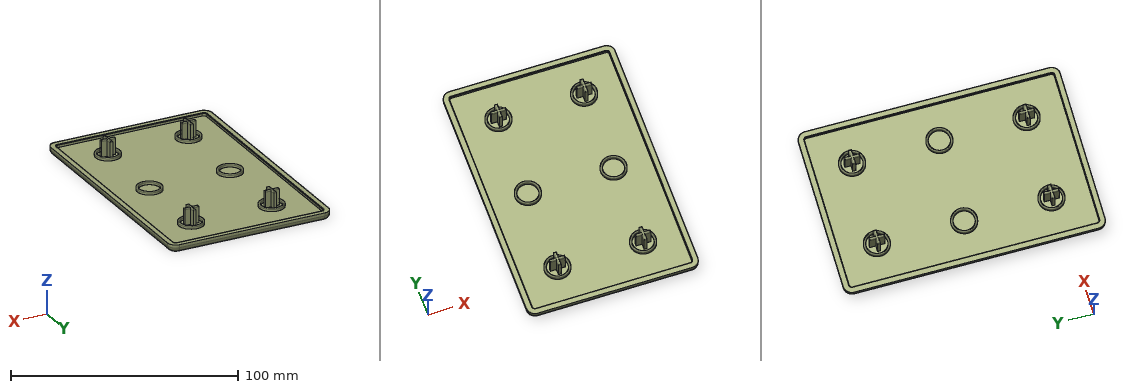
import cadquery as cq

plate_width = 79.9
plate_length = 119.9
plate_thickness = 4.0
corner_radius = 4.0
bottom_fillet = 2.5

rim_width = 2.8
recess_depth = 1.4
recess_corner_radius = corner_radius - rim_width
rim_chamfer = 0.3

column_spacing = plate_width / 2
row_spacing = plate_length / 3
ring_outer_diameter = 12.0
ring_inner_diameter = 9.8
ring_height = recess_depth
total_height = 10.5
post_span = 7.0
post_rib_thickness = 1.4
top_edge_fillet = 0.4

floor_z = plate_thickness - recess_depth
ring_positions = [
    (column * column_spacing / 2, row * row_spacing)
    for column in (-1, 1)
    for row in (-1, 0, 1)
]
post_positions = [(x, y) for x, y in ring_positions if y != 0]


def make_plate():
    """Rounded plate with a soft bottom edge and a shallow recess whose mouth is chamfered."""
    body = (
        cq.Workplane("XY")
        .rect(plate_width, plate_length)
        .extrude(plate_thickness)
        .edges("|Z")
        .fillet(corner_radius)
        .faces("<Z")
        .edges()
        .fillet(bottom_fillet)
    )
    pocket_width = plate_width - 2 * rim_width
    pocket_length = plate_length - 2 * rim_width
    recess = (
        cq.Workplane("XY", origin=(0, 0, floor_z))
        .rect(pocket_width, pocket_length)
        .extrude(recess_depth)
        .edges("|Z")
        .fillet(recess_corner_radius)
    )
    plate = body.cut(recess)
    rim_edges = plate.faces(">Z").objects[0].innerWires()[0].Edges()
    return plate.newObject(rim_edges).chamfer(rim_chamfer)


def make_rings():
    """Rounded rings that rise from the recess floor to the level of the rim."""
    return (
        cq.Workplane("XY", origin=(0, 0, floor_z))
        .pushPoints(ring_positions)
        .circle(ring_outer_diameter / 2)
        .circle(ring_inner_diameter / 2)
        .extrude(ring_height)
        .faces(">Z")
        .edges()
        .fillet(top_edge_fillet)
    )


def make_post(x, y):
    """Cross-shaped post with rounded top edges, centred in a ring."""
    post_height = total_height - floor_z
    base = cq.Workplane("XY", origin=(x, y, floor_z))
    rib_along_x = base.rect(post_span, post_rib_thickness).extrude(post_height)
    rib_along_y = base.rect(post_rib_thickness, post_span).extrude(post_height)
    return rib_along_x.union(rib_along_y).faces(">Z").edges().fillet(top_edge_fillet)


result = make_plate().union(make_rings())
for post_x, post_y in post_positions:
    result = result.union(make_post(post_x, post_y))